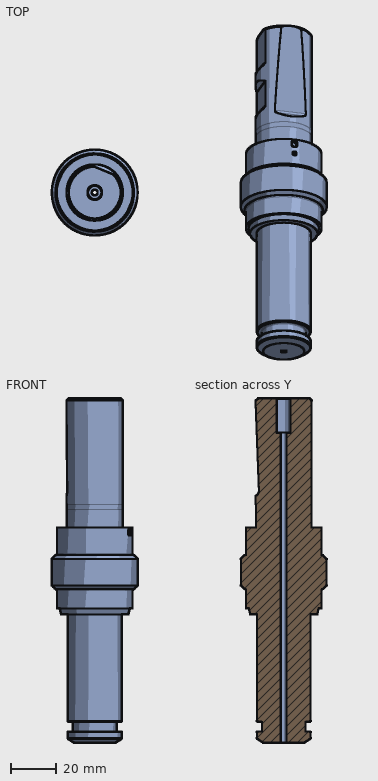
import cadquery as cq
import math

total_length = 152.0

journal_radius = 24.0 / 2
journal_end_radius = 9.1
lead_in_height = 1.7
lead_in_width = 2.6
lead_in_edge_height = 0.5
groove_radius = 19.5 / 2
groove_bottom = 5.0
groove_top = 9.3
groove_lower_chamfer = 0.3
groove_upper_chamfer = 0.5
groove_root_fillet = 0.3

seat_bottom = 56.7
seat_bottom_radius = 14.9
seat_top_radius = 15.5
collar_bottom = 59.3
collar_top = 95.0
collar_radius = 33.5 / 2
band_radius = 38.0 / 2
band_bottom = 69.5
band_top = 81.2
band_chamfer = 1.7
band_foot_radius = band_radius - band_chamfer
band_foot_fillet = band_foot_radius - collar_radius

shank_radius = 25.0 / 2
shank_chamfer = 1.0
neck_relief = 0.08
neck_radius = shank_radius - neck_relief
neck_top = 102.9
neck_cone_top = 105.2

bore_diameter = 2.5
counterbore_diameter = 6.0
counterbore_depth = 15.2
counterbore_chamfer = 0.3

inclined_flat_direction = 157.5
inclined_flat_slope = 2.0
inclined_flat_bottom = 110.2
inclined_flat_distance = 10.2
inclined_flat_runout_angle = 45.0
inclined_flat_root_fillet = 1.8
parallel_flat_direction = inclined_flat_direction - 90
parallel_flat_distance = 10.5
parallel_flat_runout_angle = 45.0
end_flat_length = 17.0
middle_flat_length = 12.0
middle_flat_centre = total_length - 31.9

marker_depth = 1.2
large_marker_diameter = 2.5
large_marker_mouth_diameter = 3.0
large_marker_height = 92.9
small_marker_diameter = 1.8
small_marker_height = 88.3

clearance = 3.0


def turned_body():
    """Revolve half of the lengthwise section around Z."""
    section = (
        cq.Workplane("XZ")
        .lineTo(journal_end_radius, 0)
        .lineTo(journal_end_radius + lead_in_width, lead_in_height)
        .lineTo(journal_radius, lead_in_height + lead_in_edge_height)
        .lineTo(journal_radius, groove_bottom - groove_lower_chamfer)
        .lineTo(journal_radius - groove_lower_chamfer, groove_bottom)
        .lineTo(groove_radius + groove_root_fillet, groove_bottom)
        .radiusArc((groove_radius, groove_bottom + groove_root_fillet), groove_root_fillet)
        .lineTo(groove_radius, groove_top - groove_root_fillet)
        .radiusArc((groove_radius + groove_root_fillet, groove_top), groove_root_fillet)
        .lineTo(journal_radius - groove_upper_chamfer, groove_top)
        .lineTo(journal_radius, groove_top + groove_upper_chamfer)
        .lineTo(journal_radius, seat_bottom)
        .lineTo(seat_bottom_radius, seat_bottom)
        .lineTo(seat_top_radius, collar_bottom)
        .lineTo(collar_radius, collar_bottom)
        .lineTo(collar_radius, band_bottom - band_chamfer - band_foot_fillet)
        .radiusArc((band_foot_radius, band_bottom - band_chamfer), band_foot_fillet)
        .lineTo(band_radius, band_bottom)
        .lineTo(band_radius, band_top)
        .lineTo(band_foot_radius, band_top + band_chamfer)
        .radiusArc((collar_radius, band_top + band_chamfer + band_foot_fillet), band_foot_fillet)
        .lineTo(collar_radius, collar_top)
        .lineTo(neck_radius, collar_top)
        .lineTo(neck_radius, neck_top)
        .lineTo(shank_radius, neck_cone_top)
        .lineTo(shank_radius, total_length - shank_chamfer)
        .lineTo(shank_radius - shank_chamfer, total_length)
        .lineTo(0, total_length)
        .close()
    )
    return section.revolve(360, (0, 0), (0, 1))


def axial_bore():
    """Through bore with a wider counterbore at the shank end."""
    bore = cq.Workplane("XY").circle(bore_diameter / 2).extrude(total_length)
    counterbore = (
        cq.Workplane("XY", origin=(0, 0, total_length))
        .circle(counterbore_diameter / 2)
        .extrude(-counterbore_depth)
    )
    mouth = (
        cq.Workplane("XY", origin=(0, 0, total_length))
        .circle(counterbore_diameter / 2 + counterbore_chamfer)
        .extrude(-counterbore_chamfer, taper=45)
    )
    return bore.union(counterbore).union(mouth)


def flat_cutter(section):
    """Cutter with a (radius, height) section, facing +X."""
    return cq.Workplane("XZ").polyline(section).close().extrude(shank_radius, both=True)


def face_direction(cutter, angle):
    """Turn a cutter that faces +X to the given angle around Z."""
    return cutter.rotate((0, 0, 0), (0, 0, 1), angle)


def runout_height(distance, angle):
    """Axial length of a runout that climbs from the flat to the cutter's outer side."""
    return (shank_radius + clearance - distance) * math.tan(math.radians(angle))


def inclined_flat():
    """Flat that deepens away from the shank end and runs out at its lower edge."""
    outer = shank_radius + clearance
    top = total_length + clearance
    rise = (top - inclined_flat_bottom) * math.tan(math.radians(inclined_flat_slope))
    runout = runout_height(inclined_flat_distance, inclined_flat_runout_angle)
    section = [
        (inclined_flat_distance, inclined_flat_bottom),
        (inclined_flat_distance + rise, top),
        (outer, top),
        (outer, inclined_flat_bottom - runout),
    ]
    root = cq.NearestToPointSelector((inclined_flat_distance, 0, inclined_flat_bottom))
    cutter = flat_cutter(section).edges(root).fillet(inclined_flat_root_fillet)
    return face_direction(cutter, inclined_flat_direction)


def parallel_flat(bottom, top):
    """Flat parallel to the axis with a sloping runout at both ends."""
    outer = shank_radius + clearance
    runout = runout_height(parallel_flat_distance, parallel_flat_runout_angle)
    section = [
        (parallel_flat_distance, bottom),
        (parallel_flat_distance, top),
        (outer, top + runout),
        (outer, bottom - runout),
    ]
    return face_direction(flat_cutter(section), parallel_flat_direction)


def marker_hole(diameter, height, angle):
    """Shallow radial blind hole in the collar."""
    hole = (
        cq.Workplane("YZ", origin=(collar_radius - marker_depth, 0, height))
        .circle(diameter / 2)
        .extrude(marker_depth + clearance)
    )
    return face_direction(hole, angle)


def large_marker(angle):
    """Marker hole with a countersunk mouth."""
    countersink_depth = (large_marker_mouth_diameter - large_marker_diameter) / 2
    mouth = (
        cq.Workplane("YZ", origin=(collar_radius, 0, large_marker_height))
        .circle(large_marker_mouth_diameter / 2)
        .extrude(-countersink_depth, taper=45)
    )
    hole = marker_hole(large_marker_diameter, large_marker_height, angle)
    return hole.union(face_direction(mouth, angle))


result = turned_body().cut(axial_bore())

result = result.cut(inclined_flat())
result = result.cut(parallel_flat(total_length - end_flat_length, total_length + clearance))
result = result.cut(
    parallel_flat(
        middle_flat_centre - middle_flat_length / 2,
        middle_flat_centre + middle_flat_length / 2,
    )
)

for marker_direction in (inclined_flat_direction, inclined_flat_direction + 180):
    result = result.cut(large_marker(marker_direction))
result = result.cut(marker_hole(small_marker_diameter, small_marker_height, inclined_flat_direction))